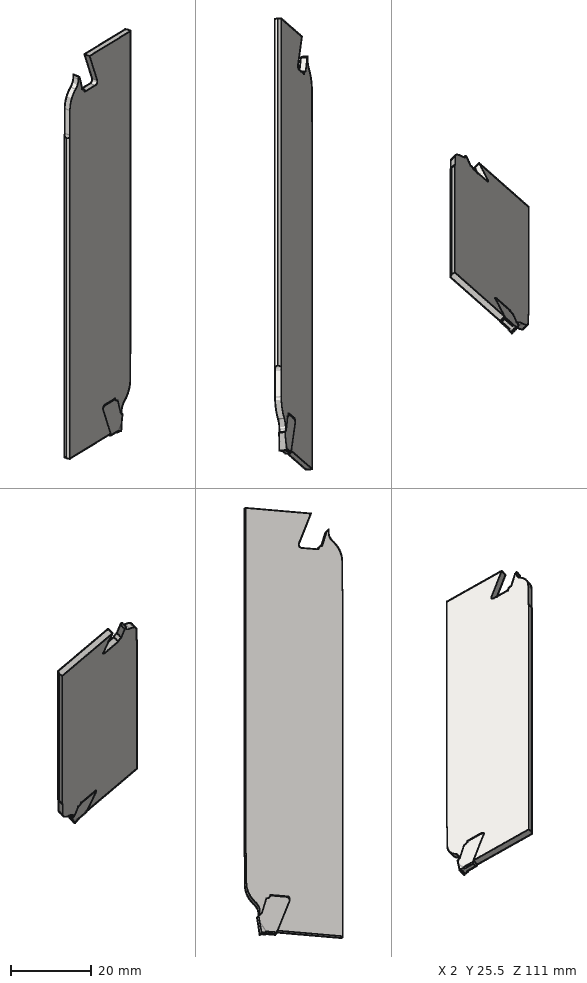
import cadquery as cq
import math


OVERALL_LENGTH = 111.0
BLADE_LENGTH = 110.0
BLADE_WIDTH = 25.5
BLADE_THICKNESS = 1.7
RIDGE_ANGLE = 15.0

HALF_LENGTH = BLADE_LENGTH / 2
HALF_WIDTH = BLADE_WIDTH / 2
RIDGE_HEIGHT = BLADE_THICKNESS / 2 * math.tan(math.radians(RIDGE_ANGLE))

LIP_Y = -4.3
WALL_ANGLE = 21.0
POCKET_DEPTH = 9.2
POCKET_FILLET = 0.8
STEP_RADIUS = 1.0
STEP_CENTER_Y = -7.2

FLOOR_Z = HALF_LENGTH - POCKET_DEPTH
WALL_SLOPE = math.tan(math.radians(WALL_ANGLE))
FLOOR_CORNER_Y = LIP_Y + POCKET_DEPTH * WALL_SLOPE

RELIEF_DEPTH = 0.38
RELIEF_RUNOUT_RADIUS = 1.5
RELIEF_RUNOUT_START = 18.9
SHOULDER_START = 11.9
SHOULDER_ANGLE = 51.0
SHOULDER_RADIUS = 6.4
NECK_RADIUS = 3.0

RELIEF_Y = RELIEF_DEPTH - HALF_WIDTH
RUNOUT_ANGLE = math.degrees(math.acos(1 - RELIEF_DEPTH / RELIEF_RUNOUT_RADIUS))
RUNOUT_Z = HALF_LENGTH - RELIEF_RUNOUT_START
SHOULDER_Z = HALF_LENGTH - SHOULDER_START
SHOULDER_CENTER_Y = RELIEF_Y + SHOULDER_RADIUS
NECK_REACH = SHOULDER_RADIUS + NECK_RADIUS
NECK_CENTER_Y = SHOULDER_CENTER_Y - NECK_REACH * math.cos(math.radians(SHOULDER_ANGLE))
NECK_CENTER_Z = SHOULDER_Z + NECK_REACH * math.sin(math.radians(SHOULDER_ANGLE))

PRONG_TIP_DEPTH = 3.8
PRONG_BEVEL = 0.5

PRONG_TIP_Y = NECK_CENTER_Y + NECK_RADIUS
PRONG_TIP_Z = HALF_LENGTH - PRONG_TIP_DEPTH
BEVEL_END_Y = PRONG_TIP_Y + PRONG_BEVEL
BEVEL_END_Z = PRONG_TIP_Z - PRONG_BEVEL

INSERT_GAP = 0.2
CUTTING_WIDTH = 2.0
NOSE_OVERHANG = 0.3
CUTTING_TIP_Y = 8.49
CUTTING_TIP_Z = HALF_LENGTH - OVERALL_LENGTH
LAND_LENGTH = 0.39
INSERT_PROTRUSION = 0.8
EDGE_BEVEL = 0.3
FLARE_TOP_Z = -53.2
FLARE_END_Y = 7.3


def arc_points(center, radius, start_angle, end_angle):
    """Middle and end point of an arc, with angles in degrees from +Y towards +Z."""
    points = []
    for angle in ((start_angle + end_angle) / 2, end_angle):
        turn = math.radians(angle)
        points.append((center[0] + radius * math.cos(turn), center[1] + radius * math.sin(turn)))
    return points


def turned(point, sign):
    """The point itself for sign 1, or turned half a turn about the origin for sign -1."""
    return (sign * point[0], sign * point[1])


def add_blade_end(path, sign):
    """Continue the blade outline along one end and down to the next corner of the blade."""
    def line(y, z):
        return path.lineTo(*turned((y, z), sign))

    def arc(center, radius, start_angle, end_angle):
        middle, end = arc_points(center, radius, start_angle, end_angle)
        return path.threePointArc(turned(middle, sign), turned(end, sign))

    path = line(LIP_Y, HALF_LENGTH)
    path = line(FLOOR_CORNER_Y, FLOOR_Z)
    path = line(STEP_CENTER_Y + STEP_RADIUS, FLOOR_Z)
    path = arc((STEP_CENTER_Y, FLOOR_Z), STEP_RADIUS, 0, 90)
    path = line(BEVEL_END_Y, BEVEL_END_Z)
    path = line(PRONG_TIP_Y, PRONG_TIP_Z)
    path = line(PRONG_TIP_Y, NECK_CENTER_Z)
    path = arc((NECK_CENTER_Y, NECK_CENTER_Z), NECK_RADIUS, 0, -SHOULDER_ANGLE)
    path = arc((SHOULDER_CENTER_Y, SHOULDER_Z), SHOULDER_RADIUS, 180 - SHOULDER_ANGLE, 180)
    path = line(RELIEF_Y, RUNOUT_Z)
    runout_center = (RELIEF_Y - RELIEF_RUNOUT_RADIUS, RUNOUT_Z)
    path = arc(runout_center, RELIEF_RUNOUT_RADIUS, 0, -RUNOUT_ANGLE)
    return line(-HALF_WIDTH, -HALF_LENGTH)


def make_ridged_bar():
    """Bar with the blade's thickness and V-shaped long edges."""
    half_thickness = BLADE_THICKNESS / 2
    flat_y = HALF_WIDTH - RIDGE_HEIGHT
    return (
        cq.Workplane("XY")
        .polyline([
            (half_thickness, flat_y),
            (0, HALF_WIDTH),
            (-half_thickness, flat_y),
            (-half_thickness, -flat_y),
            (0, -HALF_WIDTH),
            (half_thickness, -flat_y),
        ])
        .close()
        .extrude(HALF_LENGTH, both=True)
    )


def make_blade():
    outline = cq.Workplane("YZ").moveTo(HALF_WIDTH, HALF_LENGTH)
    for sign in (1, -1):
        outline = add_blade_end(outline, sign)
    plate = outline.close().extrude(BLADE_THICKNESS / 2, both=True)
    for sign in (1, -1):
        corner = (0, *turned((FLOOR_CORNER_Y, FLOOR_Z), sign))
        plate = plate.edges(cq.NearestToPointSelector(corner)).fillet(POCKET_FILLET)
    return plate.intersect(make_ridged_bar())


ENVELOPE_REACH = 2 * POCKET_DEPTH
INSERT_TOP_Z = -FLOOR_Z - INSERT_GAP
INSERT_BOTTOM_Z = -HALF_LENGTH - INSERT_PROTRUSION
NOSE = (-PRONG_TIP_Y + NOSE_OVERHANG, -PRONG_TIP_Z - NOSE_OVERHANG)


def wall_y(z):
    """Y of the clamping wall of the lower pocket at height z."""
    return -LIP_Y - (z + HALF_LENGTH) * WALL_SLOPE


def make_insert_prism():
    """Insert outline at the full cutting width."""
    gap_angle = math.degrees(math.asin(INSERT_GAP / STEP_RADIUS))
    step_center = (-STEP_CENTER_Y, -FLOOR_Z)
    step_middle, step_top = arc_points(step_center, STEP_RADIUS, 270, 180 + gap_angle)
    prism = (
        cq.Workplane("YZ")
        .moveTo(wall_y(INSERT_BOTTOM_Z), INSERT_BOTTOM_Z)
        .lineTo(CUTTING_TIP_Y - LAND_LENGTH, INSERT_BOTTOM_Z)
        .lineTo(CUTTING_TIP_Y, CUTTING_TIP_Z)
        .lineTo(*NOSE)
        .lineTo(-BEVEL_END_Y, -BEVEL_END_Z)
        .lineTo(-STEP_CENTER_Y, -FLOOR_Z - STEP_RADIUS)
        .threePointArc(step_middle, step_top)
        .lineTo(wall_y(INSERT_TOP_Z), INSERT_TOP_Z)
        .close()
        .extrude(CUTTING_WIDTH / 2, both=True)
    )
    corner = (0, wall_y(INSERT_TOP_Z), INSERT_TOP_Z)
    return prism.edges(cq.NearestToPointSelector(corner)).fillet(POCKET_FILLET)


def make_flare_envelope():
    """Bar as thick as the blade that widens to the cutting width at the cutting tip."""
    front_fraction = (FLARE_TOP_Z - NOSE[1]) / (CUTTING_TIP_Z - NOSE[1])
    flare_top_y = NOSE[0] + front_fraction * (CUTTING_TIP_Y - NOSE[0])
    flare_end_z = INSERT_BOTTOM_Z + EDGE_BEVEL
    run_y = flare_top_y - FLARE_END_Y
    run_z = FLARE_TOP_Z - flare_end_z
    tip_y = CUTTING_TIP_Y - flare_top_y
    tip_z = CUTTING_TIP_Z - FLARE_TOP_Z
    tip_distance = (tip_y * run_z - tip_z * run_y) / math.hypot(run_y, run_z)
    section_plane = cq.Plane(
        origin=(0, flare_top_y, FLARE_TOP_Z), xDir=(1, 0, 0), normal=(0, run_y, run_z)
    )
    return (
        cq.Workplane(section_plane)
        .polyline([
            (-BLADE_THICKNESS / 2, -ENVELOPE_REACH),
            (BLADE_THICKNESS / 2, -ENVELOPE_REACH),
            (BLADE_THICKNESS / 2, 0),
            (CUTTING_WIDTH / 2, tip_distance),
            (-CUTTING_WIDTH / 2, tip_distance),
            (-BLADE_THICKNESS / 2, 0),
        ])
        .close()
        .extrude(ENVELOPE_REACH, both=True)
    )


def make_edge_bevel(side):
    """Wedge that bevels the lower long edge of the insert on one side, as far as the flare."""
    edge_x = side * BLADE_THICKNESS / 2
    return (
        cq.Workplane("XZ")
        .polyline([
            (edge_x, INSERT_BOTTOM_Z),
            (edge_x, INSERT_BOTTOM_Z + EDGE_BEVEL),
            (edge_x - side * EDGE_BEVEL, INSERT_BOTTOM_Z),
        ])
        .close()
        .extrude(-FLARE_END_Y)
    )


def make_insert():
    insert = make_insert_prism().intersect(make_flare_envelope())
    for side in (1, -1):
        insert = insert.cut(make_edge_bevel(side))
    return insert


blade = make_blade()
insert = make_insert()
result = cq.Compound.makeCompound([blade.solids().val(), insert.solids().val()])